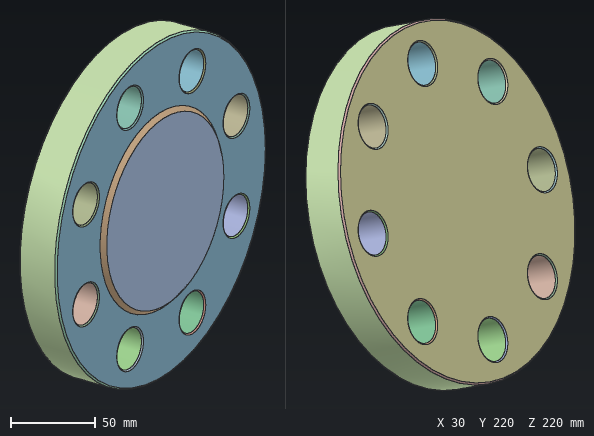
import cadquery as cq
import math

outer_diameter = 220.0
total_length = 30.0
face_height = 2.9
disc_thickness = total_length - face_height
rim_chamfer = 1.0

face_diameter = 122.3
face_taper_angle = 45.0
face_base_diameter = face_diameter + 2 * face_height * math.tan(math.radians(face_taper_angle))

bolt_count = 8
bolt_circle_diameter = 170.0
bolt_hole_diameter = 26.0
bolt_hole_chamfer = 0.9


def make_disc():
    disc = cq.Workplane("YZ").circle(outer_diameter / 2).extrude(disc_thickness)
    return disc.edges().chamfer(rim_chamfer)


def make_raised_face():
    """Sealing face with a 45 degree conical side."""
    return (
        cq.Workplane("YZ", origin=(disc_thickness, 0, 0))
        .circle(face_base_diameter / 2)
        .extrude(face_height, taper=face_taper_angle)
    )


def drill_bolt_holes(body):
    """Through holes straddling the Y and Z axes, chamfered at both ends."""
    first_angle = 180 / bolt_count
    hole = (
        cq.Workplane("YZ")
        .circle(bolt_hole_diameter / 2)
        .extrude(disc_thickness)
    )
    for x, inward in ((0, 1), (disc_thickness, -1)):
        countersink = cq.Solid.makeCone(
            bolt_hole_diameter / 2 + bolt_hole_chamfer,
            bolt_hole_diameter / 2,
            bolt_hole_chamfer,
            pnt=cq.Vector(x, 0, 0),
            dir=cq.Vector(inward, 0, 0),
        )
        hole = hole.union(cq.Workplane(countersink))
    hole = hole.translate((0, bolt_circle_diameter / 2, 0))
    for index in range(bolt_count):
        angle = first_angle + index * 360 / bolt_count
        body = body.cut(hole.rotate((0, 0, 0), (1, 0, 0), angle))
    return body


result = drill_bolt_holes(make_disc().union(make_raised_face()))